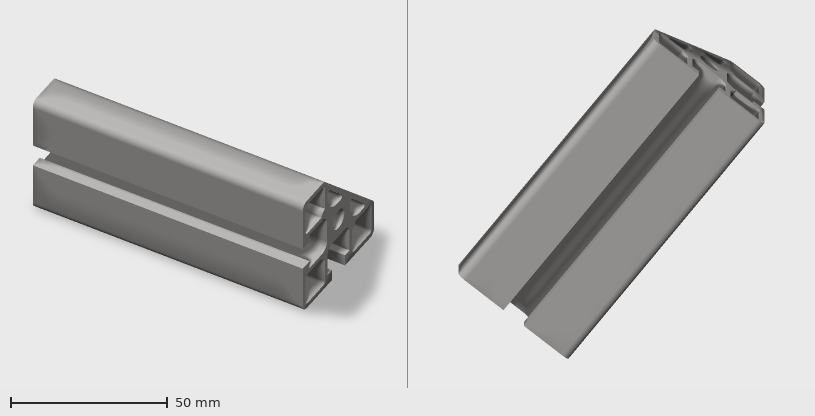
import cadquery as cq
import math

length = 100.0
side = 45.0
half_side = side / 2
corner_radius = 2.5

bevel_offset = 13.5

bore_diameter = 7.3

slot_width = 14.0
slot_opening = 8.3
slot_floor = 7.2
slot_radius = 3.0
lip_thickness = 4.3

outer_wall = 1.8
inner_wall = 1.6
cell_radius = 1.0
cell_bulge_leg = 2.2
cell_bulge_radius = 3.6

bevel_wall = 1.9
pocket_side = slot_width / 2
pocket_inner_radius = 6.2
pocket_tip_radius = 0.9

cell_inner = slot_width / 2 + inner_wall
cell_outer = half_side - outer_wall

diagonal = math.sqrt(0.5)


def extrude(outline):
    """Extrude a YZ outline over the full profile length, centred in X."""
    return outline.extrude(length / 2, both=True)


def mirror_across_diagonal(body):
    """Swap Y and Z of a body: turn about X, then reflect in Y."""
    return body.rotate((0, 0, 0), (1, 0, 0), 90).mirror("XZ")


def make_blank():
    """Square bar with one corner slanted off and all long edges rounded."""
    bevel_end = bevel_offset - half_side
    outline = [
        (-half_side, -half_side),
        (half_side, -half_side),
        (half_side, bevel_end),
        (bevel_end, half_side),
        (-half_side, half_side),
    ]
    blank = extrude(cq.Workplane("YZ").polyline(outline).close())
    return blank.edges("|X").fillet(corner_radius)


def make_bore():
    """Round core hole along the whole profile."""
    return extrude(cq.Workplane("YZ").circle(bore_diameter / 2))


def make_slot():
    """T-slot opening on the -Y face."""
    ledge = half_side - lip_thickness
    undercut_depth = ledge - slot_floor
    undercut_centre = -(ledge + slot_floor) / 2
    undercut = extrude(
        cq.Workplane("YZ").center(undercut_centre, 0).rect(undercut_depth, slot_width)
    )
    undercut = undercut.edges("|X and >Y").fillet(slot_radius)

    mouth_centre = -half_side + lip_thickness / 2
    mouth = extrude(
        cq.Workplane("YZ").center(mouth_centre, 0).rect(lip_thickness, slot_opening)
    )
    return undercut.union(mouth)


def make_cell(y_sign, z_sign):
    """Square cell in one quadrant: three rounded corners and a bulge into the corner nearest the bore."""
    size = cell_outer - cell_inner
    centre = (cell_outer + cell_inner) / 2
    cell = extrude(
        cq.Workplane("YZ").center(y_sign * centre, z_sign * centre).rect(size, size)
    )
    cell = cell.edges("|X").fillet(cell_radius)

    bulge_end = cell_inner + cell_bulge_leg
    half_chord = cell_bulge_leg * diagonal
    bow = cell_bulge_radius - math.sqrt(cell_bulge_radius**2 - half_chord**2)
    arc_mid = cell_inner + cell_bulge_leg / 2 + bow * diagonal
    bulge = extrude(
        cq.Workplane("YZ")
        .moveTo(y_sign * cell_inner, z_sign * bulge_end)
        .threePointArc((y_sign * arc_mid, z_sign * arc_mid), (y_sign * bulge_end, z_sign * cell_inner))
        .lineTo(y_sign * cell_inner, z_sign * cell_inner)
        .close()
    )
    return cell.cut(bulge)


def make_bevel_pocket():
    """Pocket between the slanted face and the slot on the -Y side."""
    hypotenuse_offset = bevel_offset - bevel_wall * math.sqrt(2)
    outline = [
        (-pocket_side, slot_floor),
        (hypotenuse_offset - slot_floor, slot_floor),
        (-pocket_side, hypotenuse_offset + pocket_side),
    ]
    pocket = extrude(cq.Workplane("YZ").polyline(outline).close())
    pocket = pocket.edges("|X and <Y and <Z").fillet(pocket_inner_radius)
    for tip in (">Y", ">Z"):
        pocket = pocket.edges("|X").edges(tip).fillet(pocket_tip_radius)
    return pocket


result = make_blank().cut(make_bore())

for opening in (make_slot(), make_bevel_pocket()):
    result = result.cut(opening).cut(mirror_across_diagonal(opening))

for y_sign, z_sign in ((-1, 1), (-1, -1), (1, -1)):
    result = result.cut(make_cell(y_sign, z_sign))